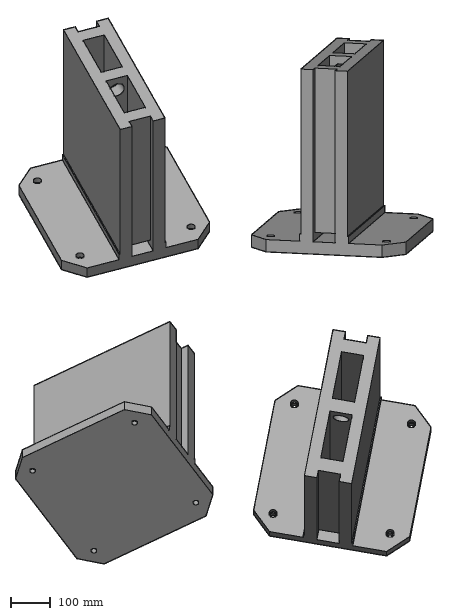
import cadquery as cq

plate_size = 400
plate_thickness = 32
corner_cut = 50

anchor_spacing = 300
anchor_diameter = 14
counterbore_diameter = 20
counterbore_depth = 15

total_height = 475
wall_thickness = 121
foot_thickness = 127
foot_height = 18

void_width = 57
channel_depth = 20
web_thickness = 35
web_count = 3
cell_count = web_count - 1

passage_height = 20

link_diameter = 40
link_drop = 40

wall_height = total_height - plate_thickness
cell_length = (plate_size - 2 * channel_depth - web_count * web_thickness) / cell_count
cell_x = (cell_length + web_thickness) / 2
passage_length = channel_depth + web_thickness
passage_x = (plate_size - passage_length) / 2
channel_x = (plate_size - channel_depth) / 2


def block_on_plate(length, width, height, x=0):
    """Box centred on the wall line at x, standing on the plate's top face."""
    box = cq.Workplane("XY").box(length, width, height, centered=(True, True, False))
    return box.translate((x, 0, plate_thickness))


def base_plate():
    plate = cq.Workplane("XY").box(plate_size, plate_size, plate_thickness, centered=(True, True, False))
    plate = plate.edges("|Z").chamfer(corner_cut)
    return (
        plate.faces(">Z")
        .workplane()
        .rect(anchor_spacing, anchor_spacing, forConstruction=True)
        .vertices()
        .cboreHole(anchor_diameter, counterbore_diameter, counterbore_depth)
    )


def upright():
    wall = block_on_plate(plate_size, wall_thickness, wall_height)
    foot = block_on_plate(plate_size, foot_thickness, foot_height)
    return wall.union(foot)


def cut_wall_voids(body):
    for side in (-1, 1):
        body = body.cut(block_on_plate(channel_depth, void_width, wall_height, side * channel_x))
        body = body.cut(block_on_plate(cell_length, void_width, wall_height, side * cell_x))
        body = body.cut(block_on_plate(passage_length, void_width, passage_height, side * passage_x))
    return body


def cut_link_hole(body):
    drill = (
        cq.Workplane("YZ", origin=(-web_thickness / 2, 0, total_height - link_drop))
        .circle(link_diameter / 2)
        .extrude(web_thickness)
    )
    return body.cut(drill)


result = base_plate().union(upright())
result = cut_wall_voids(result)
result = cut_link_hole(result)